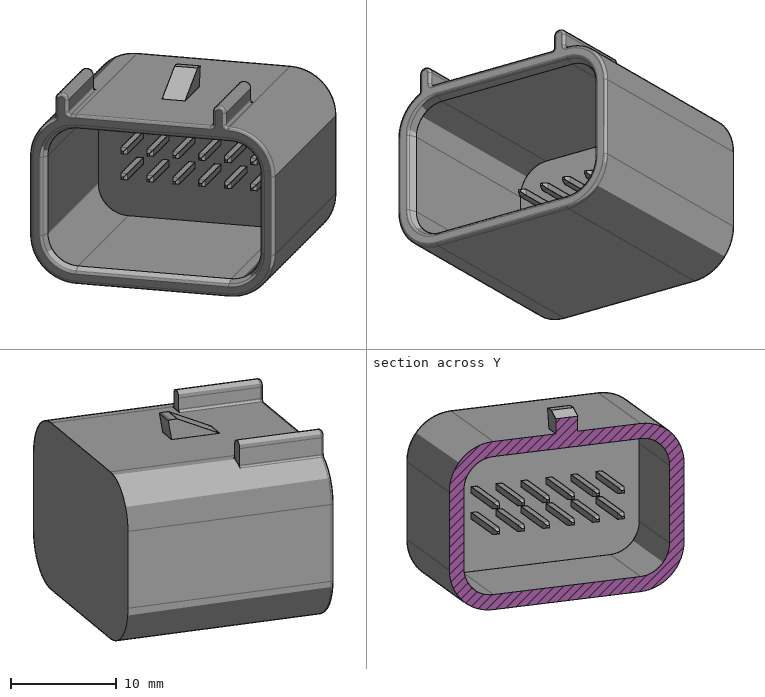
import cadquery as cq
import math


body_width = 24.08
body_length = 21.0
overall_height = 18.7
rib_height = 2.0
body_height = overall_height - rib_height
corner_radius = 4.5
edge_radius = 0.3
top_z = body_height / 2

mouth_wall = 1.18
cavity_wall = 1.55
lead_in_depth = 0.87
floor_thickness = 3.0
cavity_depth = body_length - floor_thickness

rib_width = 1.25
rib_length = 8.62
rib_root_radius = 0.25
rib_centers_x = (-8.9, 6.6)
rib_root_depth = 2.4
match_tolerance = 0.002

latch_width = 2.26
latch_ramp_foot_y = 7.3
latch_ramp_top_y = 11.6
latch_heel_y = 12.18
latch_tip_y = 12.52
latch_bevel_length = 0.2
latch_bevel_height = 0.05
latch_root_depth = 0.25

pin_columns = 6
pin_rows = 2
pin_pitch = 2.55
pin_width = 0.63
pin_length = 6.02
pin_tip_length = 0.6
pin_tip_width = 0.25
pin_root_depth = 0.25


def section_plane(y):
    """Plane across the part at the given Y, with local X along X and local Y along Z."""
    return cq.Plane(origin=(0, y, 0), xDir=(1, 0, 0), normal=(0, -1, 0))


def inset_outline(inset):
    """Body outline moved inward, keeping the corner centres where they are."""
    width = body_width - 2 * inset
    height = body_height - 2 * inset
    return cq.Sketch().rect(width, height).vertices().fillet(corner_radius - inset)


def make_cavity():
    """Straight pocket with walls that flare outward at the mouth."""
    pocket_end = inset_outline(cavity_wall)
    pocket = cq.Workplane(section_plane(cavity_depth)).placeSketch(pocket_end).extrude(cavity_depth)
    mouth_end = inset_outline(mouth_wall).moved(cq.Location((0, 0, lead_in_depth)))
    lead_in = cq.Workplane(section_plane(lead_in_depth)).placeSketch(pocket_end, mouth_end).loft()
    return pocket.union(lead_in)


def make_body():
    return cq.Workplane(section_plane(body_length)).placeSketch(inset_outline(0)).extrude(body_length)


def make_rib(center_x):
    """Upright rib with a fully rounded crest, rooted in the top wall."""
    half_width = rib_width / 2
    crest_z = top_z + rib_height
    shoulder_z = crest_z - half_width
    root_z = top_z - rib_root_depth
    return (
        cq.Workplane(section_plane(rib_length))
        .moveTo(center_x - half_width, root_z)
        .lineTo(center_x - half_width, shoulder_z)
        .threePointArc((center_x, crest_z), (center_x + half_width, shoulder_z))
        .lineTo(center_x + half_width, root_z)
        .close()
        .extrude(rib_length)
    )


def rib_root_edges(shell):
    """Lengthwise edges where the rib sides meet the body."""
    edges = []
    for edge in shell.edges("|Y").vals():
        middle = edge.Center()
        for center_x in rib_centers_x:
            on_rib_side = abs(abs(middle.x - center_x) - rib_width / 2) < match_tolerance
            on_body_top = 0 < middle.z < top_z + match_tolerance
            if on_rib_side and on_body_top:
                edges.append(edge)
    return edges


def make_latch():
    """Wedge with a long front ramp and an undercut back."""
    crest_z = top_z + rib_height
    root_z = top_z - latch_root_depth
    return (
        cq.Workplane("YZ", origin=(-latch_width / 2, 0, 0))
        .moveTo(latch_ramp_foot_y, root_z)
        .lineTo(latch_ramp_foot_y, top_z)
        .lineTo(latch_ramp_top_y, crest_z)
        .lineTo(latch_tip_y - latch_bevel_length, crest_z)
        .lineTo(latch_tip_y, crest_z - latch_bevel_height)
        .lineTo(latch_heel_y, top_z)
        .lineTo(latch_heel_y, root_z)
        .close()
        .extrude(latch_width)
    )


def make_pins():
    """Grid of square pins standing on the cavity floor."""
    shank_length = pin_root_depth + pin_length - pin_tip_length
    shanks = (
        cq.Workplane(section_plane(cavity_depth + pin_root_depth))
        .rarray(pin_pitch, pin_pitch, pin_columns, pin_rows)
        .rect(pin_width, pin_width)
        .extrude(shank_length)
    )
    taper = math.degrees(math.atan((pin_width - pin_tip_width) / 2 / pin_tip_length))
    tips = (
        cq.Workplane(section_plane(cavity_depth + pin_root_depth - shank_length))
        .rarray(pin_pitch, pin_pitch, pin_columns, pin_rows)
        .rect(pin_width, pin_width)
        .extrude(pin_tip_length, taper=taper)
    )
    return shanks.union(tips)


shell = make_body()
for rib_x in rib_centers_x:
    shell = shell.union(make_rib(rib_x))
shell = shell.newObject(rib_root_edges(shell)).fillet(rib_root_radius)

shell = shell.cut(make_cavity())
shell = shell.faces("<Y").edges().fillet(edge_radius)

result = shell.union(make_latch()).union(make_pins())